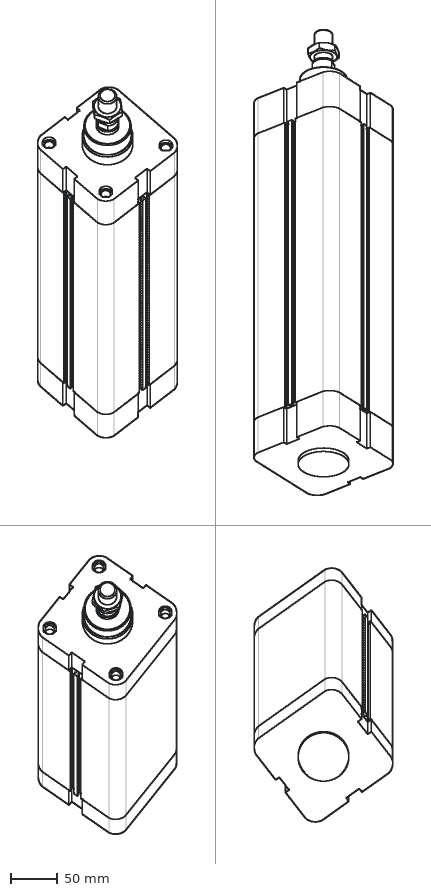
import cadquery as cq
import math


body_width = 115.5
half_width = body_width / 2
corner_setback = 13.0
corner_radius = 15.5

total_length = 538.0
boss_diameter = 55.0
rear_boss_height = 4.5
cap_length = 44.0
barrel_length = 354.5
rear_cap_top = rear_boss_height + cap_length
barrel_top = rear_cap_top + barrel_length
front_cap_top = barrel_top + cap_length

slotted_sides = (180, 270, 0)
cap_slot_width = 18.0
cap_slot_depth = 5.0
groove_depth = 5.0
groove_pitch = 9.5
mouth_width = 5.0
undercut_width = 7.0
lip_thickness = 2.5

hole_spacing = 89.5
hole_diameter = 10.0
hole_depth = 16.0
drill_point_angle = 118
counterbore_diameter = 14.5
counterbore_depth = 5.0

front_boss_height = 16.0
gland_diameter = 51.0
gland_height = 19.0
gland_chamfer = 1.35
front_boss_chamfer = 1.5
gland_top = front_cap_top + front_boss_height + gland_height

rod_diameter = 25.0
rod_shoulder = 498.5
rod_ring_level = 487.5
rod_ring_width = 1.5
rod_ring_depth = 0.5
flat_spacing = 22.0
flat_length = 9.0
flat_angle = -69
neck_diameter = 18.5
neck_length = 3.0
thread_diameter = 20.0
thread_chamfer = 1.9

nut_sides = 6
nut_across_flats = 30.0
nut_height = 9.5
nut_bottom = 508.5
nut_angle = -96
nut_bevel_angle = 30
nut_face_diameter = 29.0


def square_section(bottom, length):
    """Square bar with rounded corners."""
    arc_start = half_width - corner_setback
    return (
        cq.Workplane("XY").workplane(offset=bottom)
        .moveTo(-arc_start, -half_width)
        .lineTo(arc_start, -half_width)
        .radiusArc((half_width, -arc_start), -corner_radius)
        .lineTo(half_width, arc_start)
        .radiusArc((arc_start, half_width), -corner_radius)
        .lineTo(-arc_start, half_width)
        .radiusArc((-half_width, arc_start), -corner_radius)
        .lineTo(-half_width, -arc_start)
        .radiusArc((-arc_start, -half_width), -corner_radius)
        .close().extrude(length)
    )


def cylinder(diameter, bottom, length):
    return cq.Workplane("XY").workplane(offset=bottom).circle(diameter / 2).extrude(length)


def side_channel(width, start_depth, end_depth, offset, angle, bottom, length):
    """Cutter for a channel along Z between two depths below the side facing the given direction."""
    return (
        cq.Workplane("XY").workplane(offset=bottom)
        .center(half_width - (start_depth + end_depth) / 2, offset)
        .rect(end_depth - start_depth, width).extrude(length)
        .rotate((0, 0, 0), (0, 0, 1), angle)
    )


def make_cap(bottom):
    """Square end cap with a slot in each slotted side."""
    cap = square_section(bottom, cap_length)
    for angle in slotted_sides:
        cap = cap.cut(side_channel(cap_slot_width, 0, cap_slot_depth, 0, angle, bottom, cap_length))
    return cap


def mounting_hole(outer_face):
    """Cutter for a counterbored blind hole with a conical bottom, sunk downward from a face."""
    hole_radius = hole_diameter / 2
    point_depth = hole_radius / math.tan(math.radians(drill_point_angle / 2))
    return (
        cq.Workplane("XZ")
        .moveTo(0, outer_face)
        .lineTo(counterbore_diameter / 2, outer_face)
        .lineTo(counterbore_diameter / 2, outer_face - counterbore_depth)
        .lineTo(hole_radius, outer_face - counterbore_depth)
        .lineTo(hole_radius, outer_face - hole_depth)
        .lineTo(0, outer_face - hole_depth - point_depth)
        .close()
        .revolve(360, (0, 0, 0), (0, 1, 0))
    )


def make_rear_cap():
    return make_cap(rear_boss_height).union(cylinder(boss_diameter, 0, rear_boss_height))


def undercut_groove(offset, angle):
    """Cutter for one barrel groove that widens behind the lips at its mouth."""
    mouth = side_channel(mouth_width, 0, groove_depth, offset, angle, rear_cap_top, barrel_length)
    undercut = side_channel(
        undercut_width, lip_thickness, groove_depth, offset, angle, rear_cap_top, barrel_length
    )
    return mouth.union(undercut)


def make_barrel():
    barrel = square_section(rear_cap_top, barrel_length)
    for angle in slotted_sides:
        for offset in (-groove_pitch / 2, groove_pitch / 2):
            barrel = barrel.cut(undercut_groove(offset, angle))
    return barrel


def make_front_cap():
    boss = cylinder(boss_diameter, front_cap_top, front_boss_height).faces(">Z").chamfer(front_boss_chamfer)
    gland = cylinder(gland_diameter, front_cap_top, gland_top - front_cap_top)
    gland = gland.faces(">Z").chamfer(gland_chamfer)
    cap = make_cap(barrel_top).union(boss).union(gland)
    hole = mounting_hole(front_cap_top)
    for x in (-hole_spacing / 2, hole_spacing / 2):
        for y in (-hole_spacing / 2, hole_spacing / 2):
            cap = cap.cut(hole.translate((x, y, 0)))
    return cap.cut(cylinder(rod_diameter, barrel_top, gland_top - barrel_top))


def make_rod():
    rod = cylinder(rod_diameter, barrel_top, rod_shoulder - barrel_top)

    ring = cylinder(rod_diameter, rod_ring_level, rod_ring_width)
    ring = ring.cut(cylinder(rod_diameter - 2 * rod_ring_depth, rod_ring_level, rod_ring_width))
    rod = rod.cut(ring)

    flat_bottom = rod_shoulder - flat_length
    between_flats = (
        cq.Workplane("XY").workplane(offset=flat_bottom)
        .rect(flat_spacing, 2 * rod_diameter).extrude(flat_length)
        .rotate((0, 0, 0), (0, 0, 1), flat_angle)
    )
    rod = rod.cut(cylinder(rod_diameter, flat_bottom, flat_length).cut(between_flats))

    thread_bottom = rod_shoulder + neck_length
    thread = cylinder(thread_diameter, thread_bottom, total_length - thread_bottom)
    thread = thread.faces(">Z").chamfer(thread_chamfer)
    return rod.union(cylinder(neck_diameter, rod_shoulder, neck_length)).union(thread)


def make_nut():
    """Hexagon nut whose corners are bevelled at both ends."""
    corner_reach = nut_across_flats / 2 / math.cos(math.pi / nut_sides)
    bevel_reach = corner_reach - nut_face_diameter / 2
    bevel_height = bevel_reach * math.tan(math.radians(nut_bevel_angle))
    hexagon = (
        cq.Workplane("XY").workplane(offset=nut_bottom)
        .polygon(nut_sides, 2 * corner_reach).extrude(nut_height)
        .rotate((0, 0, 0), (0, 0, 1), nut_angle)
    )
    bevel_envelope = cylinder(2 * corner_reach, nut_bottom, nut_height)
    bevel_envelope = bevel_envelope.faces("<Z or >Z").chamfer(bevel_height, bevel_reach)
    return hexagon.intersect(bevel_envelope).cut(cylinder(thread_diameter, nut_bottom, nut_height))


rear_cap = make_rear_cap()
barrel = make_barrel()
front_cap = make_front_cap()
rod = make_rod()
nut = make_nut()

result = cq.Compound.makeCompound([rear_cap.val(), barrel.val(), front_cap.val(), rod.val(), nut.val()])